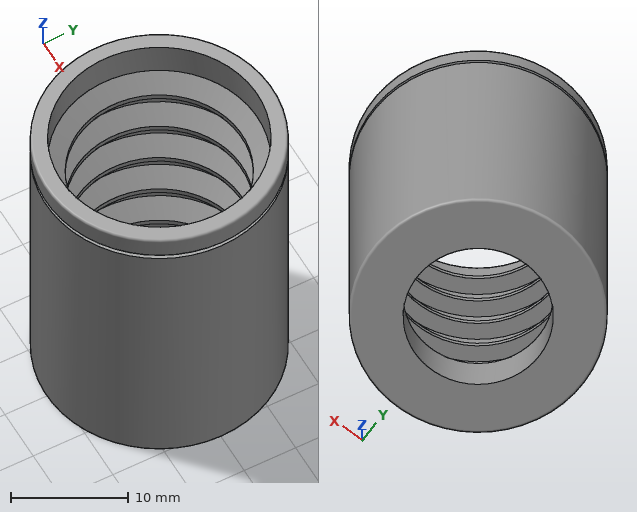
import cadquery as cq

length = 30.0
outer_diameter = 22.0
outer_radius = outer_diameter / 2
edge_round = 0.25

ring_groove_depth = 0.4
ring_groove_width = 0.45
ring_groove_top = length - 2.05

bore_radius = 9.5
tooth_height = 1.5
tooth_radius = bore_radius - tooth_height
land_length = 0.5
first_tooth_depth = 3.3
tooth_pitch = 4.5
tooth_count = 5
floor_depth = first_tooth_depth + tooth_count * tooth_pitch

hole_radius = 6.4


def make_body():
    body = cq.Workplane("XY").circle(outer_radius).extrude(length)
    return body.faces("<Z or >Z").edges().fillet(edge_round)


def make_ring_groove():
    return (
        cq.Workplane("XY", origin=(0, 0, ring_groove_top - ring_groove_width))
        .circle(outer_radius)
        .circle(outer_radius - ring_groove_depth)
        .extrude(ring_groove_width)
    )


def make_bore():
    profile = cq.Workplane("XZ").moveTo(0, length).lineTo(bore_radius, length)
    for index in range(tooth_count):
        tooth_top = length - first_tooth_depth - index * tooth_pitch
        land_top = tooth_top - tooth_height
        land_bottom = land_top - land_length
        profile = (
            profile.lineTo(bore_radius, tooth_top)
            .lineTo(tooth_radius, land_top)
            .lineTo(tooth_radius, land_bottom)
            .lineTo(bore_radius, land_bottom)
        )
    floor_height = length - floor_depth
    profile = profile.lineTo(bore_radius, floor_height).lineTo(0, floor_height).close()
    return profile.revolve(360, (0, 0, 0), (0, 1, 0))


def make_floor_hole():
    return cq.Workplane("XY").circle(hole_radius).extrude(length)


result = make_body().cut(make_ring_groove()).cut(make_bore()).cut(make_floor_hole())